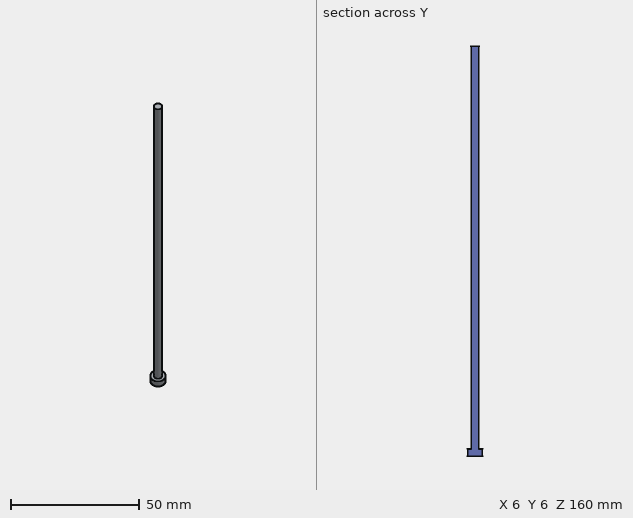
import cadquery as cq

overall_length = 160.0
head_diameter = 6.0
head_height = 3.0
shank_diameter = 3.2


def make_head():
    """Cylindrical head, its bottom face at the head's base."""
    return cq.Workplane("XY").circle(head_diameter / 2).extrude(head_height)


def make_shank():
    """Straight round shank running from the base to the tip."""
    return cq.Workplane("XY").circle(shank_diameter / 2).extrude(overall_length)


result = make_head().union(make_shank())